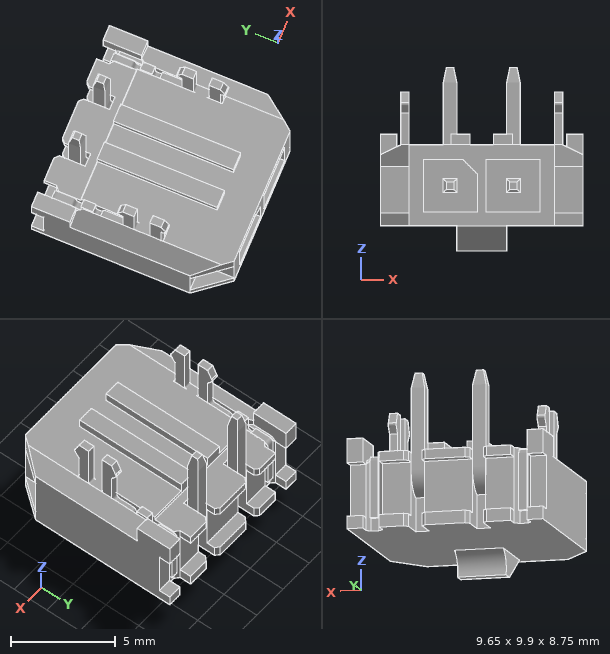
import cadquery as cq
import math


width = 9.65
half_width = width / 2
length = 9.9
top_z = 3.87
ear_top_z = 4.38
bevel_inner_x = 3.86
bevel_outer_z = 3.4
corner_x = 3.465
corner_y = 1.71

recess_front_y = 7.91
recess_floor_z = 3.67
ledge_z = 3.46
recess_half_width = 4.05
ledge_front_y = 7.64
rear_wall_y = 9.27
flange_low_z = 0.61
flange_high_z = 3.21

relief_low_z = flange_low_z
relief_high_z = 2.82

rib_inner_x = 0.55
rib_width = 0.9

cavity_inner_x = 0.21
cavity_outer_x = 2.77
cavity_low_z = 0.65
cavity_high_z = 3.17
cavity_depth = 7.52
key_chamfer = 0.69

pin_pitch = 3.02
pin_size = 0.66
pin_tip_size = 0.36
pin_axis_z = 1.92
pin_taper = 0.74
pin_front_y = 2.97
tail_thickness = 0.62
tail_y = 8.92
tail_top_z = 7.55
pin_bend_radius = 0.59
pin_slot_front_y = 8.37
slot_mouth_chamfer = 0.2

clip_inner_x = corner_x
clip_outer_x = bevel_inner_x
clip_width = clip_outer_x - clip_inner_x
clip_center_x = (clip_inner_x + clip_outer_x) / 2
clip_floor_z = 3.59
clip_groove_z = 3.17
clip_end_radius = 0.23
hump_front_y = 7.13
hump_rear_y = 7.75
hump_top_z = 4.07
front_groove_width = 0.36
front_groove_rounding = 0.19
rear_groove_width = 0.4
rear_groove_rounding = 0.14
leg_mid_y = 4.59
leg_inner_offset = 0.41
leg_outer_offset = 0.99
barb_offset = 1.27
barb_low_z = 5.38
barb_tip_z = 5.79
barb_tip_half_height = 0.09
barb_tip_setback = 0.04
leg_top_z = 6.39
leg_root_radius = 0.1
leg_heel_radius = 0.18
channel_front_gap = 0.1
clip_notch_inner_x = 3.24
clip_notch_front_y = 9.06
clip_notch_mouth_y = rear_wall_y
ledge_edge_chamfer = 0.23

ramp_width = 2.4
ramp_depth = 1.2
ramp_front_y = 0.42
ramp_heel_y = 2.34
ramp_catch_y = 2.99
ramp_rear_y = 3.54
ramp_arc_y = 2.94
ramp_arc_z = -0.79

SIDES = (-1, 1)


def box(x0, x1, y0, y1, z0, z1):
    """Block between opposite limits; the limits of an axis may be in either order."""
    size = (abs(x1 - x0), abs(y1 - y0), abs(z1 - z0))
    center = ((x0 + x1) / 2, (y0 + y1) / 2, (z0 + z1) / 2)
    return cq.Workplane("XY").box(*size).translate(center)


def prism_along_x(profile, center_x, width):
    """Extrude a closed (Y, Z) profile symmetrically about center_x."""
    return profile.extrude(width / 2, both=True).translate((center_x, 0, 0))


def front_profile(x, z):
    """Start an (X, Z) profile on the mating face; extrude by a negative depth to go rearward."""
    return cq.Workplane("XZ").moveTo(x, z)


def make_housing():
    plan = [
        (-corner_x, 0), (corner_x, 0), (half_width, corner_y), (half_width, length),
        (-half_width, length), (-half_width, corner_y),
    ]
    body = cq.Workplane("XY").polyline(plan).close().extrude(ear_top_z)

    above_bevel = (
        front_profile(-half_width, bevel_outer_z)
        .lineTo(-bevel_inner_x, top_z)
        .lineTo(bevel_inner_x, top_z)
        .lineTo(half_width, bevel_outer_z)
        .lineTo(half_width, ear_top_z)
        .lineTo(-half_width, ear_top_z)
        .close()
        .extrude(-recess_front_y)
    )
    body = body.cut(above_bevel)

    recess = box(-recess_half_width, recess_half_width, recess_front_y, length, recess_floor_z, ear_top_z)
    body = body.cut(recess)
    for side in SIDES:
        ledge = [
            (side * bevel_inner_x, ledge_front_y),
            (side * recess_half_width, recess_front_y),
            (side * recess_half_width, length),
            (side * bevel_inner_x, length),
        ]
        pocket = cq.Workplane("XY").polyline(ledge).close().extrude(ear_top_z - ledge_z)
        body = body.cut(pocket.translate((0, 0, ledge_z)))

    body = body.cut(box(-half_width, half_width, rear_wall_y, length, flange_low_z, flange_high_z))

    for side in SIDES:
        relief = box(side * corner_x, side * half_width, 0, corner_y, relief_low_z, relief_high_z)
        body = body.cut(relief)
    return body


def make_ribs():
    ribs = cq.Workplane("XY")
    for side in SIDES:
        outer_x = rib_inner_x + rib_width
        rib = box(side * rib_inner_x, side * outer_x, corner_y, recess_front_y, recess_floor_z, ear_top_z)
        ribs = ribs.add(rib)
    return ribs.combine()


def make_cavities():
    plain = box(cavity_inner_x, cavity_outer_x, 0, cavity_depth, cavity_low_z, cavity_high_z)
    keyed = (
        box(-cavity_outer_x, -cavity_inner_x, 0, cavity_depth, cavity_low_z, cavity_high_z)
        .edges("|Y and >X and >Z")
        .chamfer(key_chamfer)
    )
    return plain.add(keyed).combine()


def make_pin_slot(x):
    """Full-height slot in the rear end with a flared mouth."""
    half = pin_size / 2
    mouth = half + slot_mouth_chamfer
    mouth_y = length - slot_mouth_chamfer
    outline = [
        (-half, pin_slot_front_y), (half, pin_slot_front_y), (half, mouth_y), (mouth, length),
        (-mouth, length), (-half, mouth_y),
    ]
    return cq.Workplane("XY").polyline(outline).close().extrude(ear_top_z).translate((x, 0, 0))


def make_pin(x):
    """Right-angle pin with a tapered tip at each end."""
    half = pin_size / 2
    tail_front_y = tail_y - tail_thickness / 2
    tail_rear_y = tail_y + tail_thickness / 2
    shaft_start_y = pin_front_y + pin_taper
    shaft_end_z = tail_top_z - pin_taper
    inner_z = pin_axis_z + half
    outer_z = pin_axis_z - half
    outer_radius = pin_bend_radius + tail_thickness
    bend_leg = pin_bend_radius * math.sqrt(0.5)
    outer_leg = outer_radius * math.sqrt(0.5)
    bend_y = tail_front_y - pin_bend_radius
    bend_z = inner_z + pin_bend_radius
    outer_bend_z = outer_z + outer_radius
    shaft = (
        cq.Workplane("YZ")
        .moveTo(shaft_start_y, inner_z)
        .lineTo(bend_y, inner_z)
        .threePointArc((bend_y + bend_leg, bend_z - bend_leg), (tail_front_y, bend_z))
        .lineTo(tail_front_y, shaft_end_z)
        .lineTo(tail_rear_y, shaft_end_z)
        .lineTo(tail_rear_y, outer_bend_z)
        .threePointArc((bend_y + outer_leg, outer_bend_z - outer_leg), (bend_y, outer_z))
        .lineTo(shaft_start_y, outer_z)
        .close()
    )
    pin = prism_along_x(shaft, 0, pin_size)
    mating_tip = (
        cq.Workplane("XZ", origin=(0, shaft_start_y, pin_axis_z))
        .rect(pin_size, pin_size)
        .workplane(offset=pin_taper)
        .rect(pin_tip_size, pin_tip_size)
        .loft()
    )
    tail_tip = (
        cq.Workplane("XY", origin=(0, tail_y, shaft_end_z))
        .rect(pin_size, tail_thickness)
        .workplane(offset=pin_taper)
        .rect(pin_tip_size, pin_tip_size)
        .loft()
    )
    return pin.union(mating_tip).union(tail_tip).translate((x, 0, 0))


def make_clip_notch(side):
    """Full-height notch in the rear end behind a clip channel, tapering toward the channel."""
    outline = [
        (clip_notch_inner_x, length), (recess_half_width, length),
        (recess_half_width, clip_notch_mouth_y), (clip_outer_x, clip_notch_front_y),
        (clip_inner_x, clip_notch_front_y), (clip_notch_inner_x, clip_notch_mouth_y),
    ]
    points = [(side * x, y) for x, y in outline]
    return cq.Workplane("XY").polyline(points).close().extrude(ear_top_z)


def make_ledge_chamfer(side):
    """Wedge that slopes off the rear edge of the ledge beside an ear."""
    start_y = rear_wall_y - ledge_edge_chamfer
    wedge = (
        cq.Workplane("YZ")
        .moveTo(start_y, ledge_z)
        .lineTo(rear_wall_y, ledge_z - ledge_edge_chamfer)
        .lineTo(rear_wall_y, ledge_z)
        .close()
    )
    ledge_width = recess_half_width - clip_outer_x
    return prism_along_x(wedge, side * (clip_outer_x + ledge_width / 2), ledge_width)


def make_clip_channel(side):
    channel_front_y = leg_mid_y - leg_outer_offset - channel_front_gap
    x_limits = (side * clip_inner_x, side * clip_outer_x)
    return box(*x_limits, channel_front_y, length, flange_low_z, ear_top_z)


def make_clip(side):
    """Flat clip: strip with a hump between two grooves, and two barbed legs ahead of it."""
    diagonal = math.sqrt(0.5)
    front_leg_y = leg_mid_y - leg_outer_offset
    rear_leg_y = leg_mid_y + leg_outer_offset
    heel_rise = leg_heel_radius * (1 - diagonal)
    front_groove_y = hump_front_y - front_groove_width
    rear_groove_y = hump_rear_y + rear_groove_width
    front_groove_wall_z = clip_floor_z - front_groove_rounding
    rear_groove_wall_z = clip_floor_z - rear_groove_rounding
    front_arc_z = clip_groove_z + front_groove_width / 2
    rear_arc_z = clip_groove_z + rear_groove_width / 2
    end_wall_z = clip_floor_z - clip_end_radius
    end_y = rear_wall_y - clip_end_radius
    strip = (
        cq.Workplane("YZ")
        .moveTo(front_leg_y, flange_low_z)
        .lineTo(front_leg_y, top_z)
        .lineTo(rear_leg_y, top_z)
        .lineTo(rear_leg_y, clip_floor_z + leg_heel_radius)
        .threePointArc(
            (rear_leg_y + heel_rise, clip_floor_z + heel_rise),
            (rear_leg_y + leg_heel_radius, clip_floor_z),
        )
        .lineTo(front_groove_y - front_groove_rounding, clip_floor_z)
        .threePointArc(
            (
                front_groove_y - front_groove_rounding * (1 - diagonal),
                front_groove_wall_z + front_groove_rounding * diagonal,
            ),
            (front_groove_y, front_groove_wall_z),
        )
        .lineTo(front_groove_y, front_arc_z)
        .threePointArc((hump_front_y - front_groove_width / 2, clip_groove_z), (hump_front_y, front_arc_z))
        .lineTo(hump_front_y, hump_top_z)
        .lineTo(hump_rear_y, hump_top_z)
        .lineTo(hump_rear_y, rear_arc_z)
        .threePointArc((hump_rear_y + rear_groove_width / 2, clip_groove_z), (rear_groove_y, rear_arc_z))
        .lineTo(rear_groove_y, rear_groove_wall_z)
        .threePointArc(
            (
                rear_groove_y + rear_groove_rounding * (1 - diagonal),
                rear_groove_wall_z + rear_groove_rounding * diagonal,
            ),
            (rear_groove_y + rear_groove_rounding, clip_floor_z),
        )
        .lineTo(end_y, clip_floor_z)
        .threePointArc(
            (end_y + clip_end_radius * diagonal, end_wall_z + clip_end_radius * diagonal),
            (rear_wall_y, end_wall_z),
        )
        .lineTo(rear_wall_y, flange_low_z)
        .close()
    )
    clip = prism_along_x(strip, side * clip_center_x, clip_width)
    for direction in SIDES:
        clip = clip.union(make_clip_leg(side, direction))
    return clip


def make_clip_leg(side, direction):
    """Barbed leg; direction is the way its barb points along Y."""
    def y(offset):
        return leg_mid_y + direction * offset

    root_offset = leg_inner_offset - leg_root_radius
    root_z = top_z + leg_root_radius
    root_reach = leg_root_radius * math.sqrt(0.5)
    profile = (
        cq.Workplane("YZ")
        .moveTo(y(root_offset), clip_floor_z)
        .lineTo(y(root_offset), top_z)
        .threePointArc((y(root_offset + root_reach), root_z - root_reach), (y(leg_inner_offset), root_z))
        .lineTo(y(leg_inner_offset), leg_top_z)
        .lineTo(y(leg_outer_offset), leg_top_z)
        .lineTo(y(barb_offset - barb_tip_setback), barb_tip_z + barb_tip_half_height)
        .threePointArc(
            (y(barb_offset), barb_tip_z),
            (y(barb_offset - barb_tip_setback), barb_tip_z - barb_tip_half_height),
        )
        .lineTo(y(leg_outer_offset), barb_low_z)
        .lineTo(y(leg_outer_offset), clip_floor_z)
        .close()
    )
    return prism_along_x(profile, side * clip_center_x, clip_width)


def make_ramp():
    profile = (
        cq.Workplane("YZ")
        .moveTo(ramp_front_y, 0)
        .lineTo(ramp_heel_y, -ramp_depth)
        .lineTo(ramp_catch_y, -ramp_depth)
        .threePointArc((ramp_arc_y, ramp_arc_z), (ramp_rear_y, 0))
        .close()
    )
    return prism_along_x(profile, 0, ramp_width)


result = make_housing().union(make_ribs()).union(make_ramp()).cut(make_cavities())
for side in SIDES:
    result = result.cut(make_clip_notch(side)).cut(make_ledge_chamfer(side)).cut(make_clip_channel(side))
    result = result.union(make_clip(side))
for side in SIDES:
    pin_x = side * pin_pitch / 2
    result = result.cut(make_pin_slot(pin_x)).union(make_pin(pin_x))